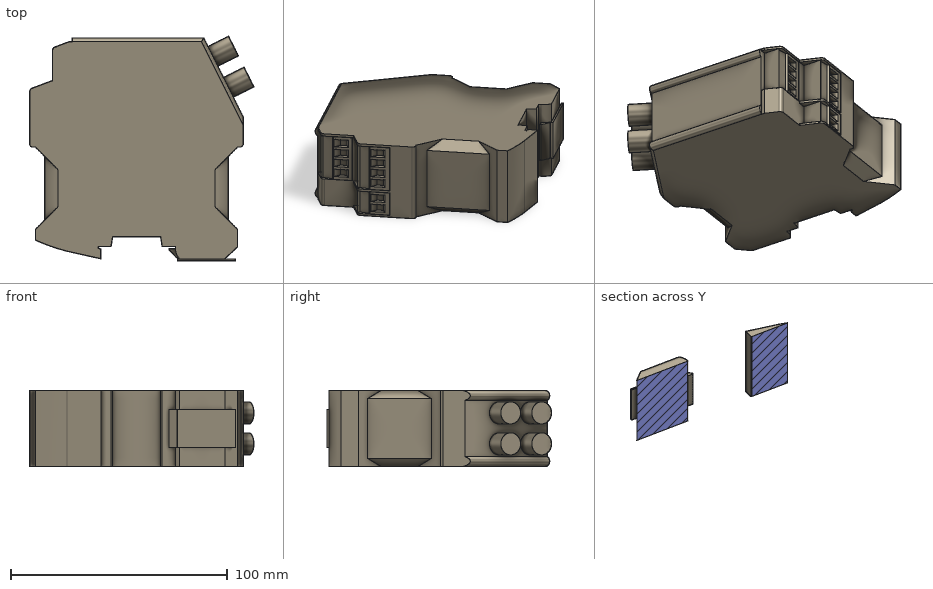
import cadquery as cq
import math

WIDTH = 98.8
THICKNESS = 35.2
FOOT_Y = 0.9
FRONT_Y = 101.2

SHOULDER_Y = 52.5
SHOULDER_FILLET = 1.5
SHOULDER_CHAMFER = 1.1
SHOULDER_X = 2.7
WAIST_X = 13.2
WAIST_TOP_Y = SHOULDER_Y - (WAIST_X - SHOULDER_X)
WAIST_BOTTOM_Y = 25.0
HIP_Y = WAIST_BOTTOM_Y - (WAIST_X - SHOULDER_X)
FOOT_SIDE_Y = 9.5

STEP_X = 10.5
STEP_SLOPE = 0.375
LOWER_STEP_Y = 79.3
UPPER_STEP_Y = 98.3
STEP_FILLET = 2.0
STEP_ROOT_Y = LOWER_STEP_Y + STEP_SLOPE * STEP_X
FRONT_LEFT_X = STEP_X + (FRONT_Y - UPPER_STEP_Y) / STEP_SLOPE

PANEL_TOP_X = 79.4
PANEL_BOTTOM_Y = 62.4
PANEL_ANGLE = math.atan2(WIDTH - PANEL_TOP_X, FRONT_Y - PANEL_BOTTOM_Y)
PANEL_NORMAL = (math.cos(PANEL_ANGLE), math.sin(PANEL_ANGLE))
PANEL_DOWN = (math.sin(PANEL_ANGLE), -math.cos(PANEL_ANGLE))

RAIL_SEAT_Y = 6.6
RAIL_ROOF_Y = 11.0
RAIL_LEFT_X = 31.8
RAIL_RIGHT_X = 67.4
RAIL_ROOF_LEFT_X = 38.4
RAIL_ROOF_RIGHT_X = 60.5
RAIL_FLARE = 0.7
RAIL_HOOK_X = 32.9
RAIL_HOOK_TOP_Y = 5.4
RAIL_HOOK_UNDERCUT_Y = 5.9
FOOT_ARC_MID = (9.5, 6.75)
FOOT_ARC_END = (17.4, 4.35)
RIGHT_FOOT_MID = (67.9, 3.0)
RIGHT_FOOT_X = 69.2
RIGHT_FOOT_END_X = 90.2
RIGHT_FLANK_Y = 6.4

LIP_HEIGHT = 1.7
PLATEAU_HEIGHT = 0.6
LIP_CREST_Z = 2.5
LIP_INNER_Z = 4.6
LIP_START_X = 19.7
ROOT = 1.0
CLEARANCE = 1.0

PLUG_HIGH_Z = (13.0, 34.05)
PLUG_LOW_Z = (0.96, 11.9)
PLUG_HIGH_WAYS = 4
PLUG_LOW_WAYS = 2
PLUG_FACE = 0.3
PLUG_TIP = 1.2
PLUG_BEVEL = 0.85
PLUG_SLOPE_END = 1.2
PLUG_SLOPE_LENGTH = 4.5
PLUG_LEDGE = 0.6
LOWER_PLUG_TOP_Y = 79.6
LOWER_PLUG_END_Y = 64.4
UPPER_PLUG_TOP_Y = 98.7
UPPER_PLUG_END_Y = 83.9
SLOT_TOP_DROP = 6.3
SLOT_LENGTH = 6.7
SLOT_DEPTH = 2.5
SLOT_END_RUN = 1.1
SLOT_WIDTH = 3.6
SLOT_PITCH = 4.85

COVER_X = 7.0
COVER_BEVEL_Z = 3.8
CLIP_WIDTH = 17.6
CLIP_LEFT_X = 68.4
CLIP_RIGHT_X = 95.0
HOOK_TIP_X = 64.5
HOOK_TOP_Y = 5.6
HOOK_TIP_HEIGHT = 0.6
HOOK_BOTTOM_Y = 1.3
HOOK_BOTTOM_X = 68.0
HOOK_BACK_X = 70.0

KNOB_RADIUS = 5.1
KNOB_LENGTH = 14.0
KNOB_END = (94.2, 99.17)
KNOB_SPACING = 16.0
KNOB_Z = (10.5, 24.8)
KNOB_ROWS = 2


def mirrored(x):
    return WIDTH - x


def housing_body():
    outline = (
        cq.Workplane("XY")
        .moveTo(0, LOWER_STEP_Y)
        .lineTo(0, SHOULDER_Y)
        .lineTo(SHOULDER_X, SHOULDER_Y)
        .lineTo(WAIST_X, WAIST_TOP_Y)
        .lineTo(WAIST_X, WAIST_BOTTOM_Y)
        .lineTo(SHOULDER_X, HIP_Y)
        .lineTo(SHOULDER_X, FOOT_SIDE_Y)
        .threePointArc(FOOT_ARC_MID, FOOT_ARC_END)
        .lineTo(RAIL_HOOK_X, FOOT_Y)
        .lineTo(RAIL_HOOK_X, RAIL_HOOK_TOP_Y)
        .lineTo(RAIL_LEFT_X, RAIL_HOOK_UNDERCUT_Y)
        .lineTo(RAIL_LEFT_X, RAIL_SEAT_Y)
        .lineTo(RAIL_ROOF_LEFT_X - RAIL_FLARE, RAIL_SEAT_Y)
        .lineTo(RAIL_ROOF_LEFT_X, RAIL_ROOF_Y)
        .lineTo(RAIL_ROOF_RIGHT_X, RAIL_ROOF_Y)
        .lineTo(RAIL_ROOF_RIGHT_X + RAIL_FLARE, RAIL_SEAT_Y)
        .lineTo(RAIL_RIGHT_X, RAIL_SEAT_Y)
        .lineTo(RAIL_RIGHT_X, HOOK_TOP_Y)
        .threePointArc(RIGHT_FOOT_MID, (RIGHT_FOOT_X, FOOT_Y))
        .lineTo(RIGHT_FOOT_END_X, FOOT_Y)
        .lineTo(mirrored(SHOULDER_X), RIGHT_FLANK_Y)
        .lineTo(mirrored(SHOULDER_X), HIP_Y)
        .lineTo(mirrored(WAIST_X), WAIST_BOTTOM_Y)
        .lineTo(mirrored(WAIST_X), WAIST_TOP_Y)
        .lineTo(mirrored(SHOULDER_X), SHOULDER_Y)
        .lineTo(mirrored(SHOULDER_CHAMFER), SHOULDER_Y)
        .lineTo(WIDTH, SHOULDER_Y + SHOULDER_CHAMFER)
        .lineTo(WIDTH, PANEL_BOTTOM_Y)
        .lineTo(PANEL_TOP_X, FRONT_Y)
        .lineTo(FRONT_LEFT_X, FRONT_Y)
        .lineTo(STEP_X, UPPER_STEP_Y)
        .lineTo(STEP_X, STEP_ROOT_Y)
        .close()
    )
    body = outline.extrude(THICKNESS)
    rounded_corners = [
        (0, SHOULDER_Y, SHOULDER_FILLET),
        (0, LOWER_STEP_Y, STEP_FILLET),
        (STEP_X, UPPER_STEP_Y, STEP_FILLET),
    ]
    for x, y, radius in rounded_corners:
        corner = cq.selectors.NearestToPointSelector((x, y, THICKNESS / 2))
        body = body.edges(corner).fillet(radius)
    return body


def panel_lips():
    """Two rounded lips with a lower face between them, swept around the front corner."""
    overrun = 2 * LIP_HEIGHT / math.tan(PANEL_ANGLE)
    path_end = (WIDTH + PANEL_DOWN[0] * overrun, PANEL_BOTTOM_Y + PANEL_DOWN[1] * overrun)
    path = cq.Workplane("XY").polyline(
        [(LIP_START_X, FRONT_Y), (PANEL_TOP_X, FRONT_Y), path_end]
    )
    top = THICKNESS
    section = (
        cq.Workplane("YZ", origin=(LIP_START_X, FRONT_Y, 0))
        .moveTo(-ROOT, 0)
        .lineTo(0, 0)
        .threePointArc((LIP_HEIGHT, LIP_CREST_Z), (PLATEAU_HEIGHT, LIP_INNER_Z))
        .lineTo(PLATEAU_HEIGHT, top - LIP_INNER_Z)
        .threePointArc((LIP_HEIGHT, top - LIP_CREST_Z), (0, top))
        .lineTo(-ROOT, top)
        .close()
    )
    lips = section.sweep(path, transition="right")
    keep = cq.Workplane("XY").box(WIDTH, 2 * FRONT_Y, THICKNESS, centered=False)
    return lips.intersect(keep)


def terminal_cavity(face_x, back_x, top_y, end_y, open_y, z_range):
    """Space removed in front of and above one terminal block."""
    z_low, z_high = z_range
    slope_end_y = top_y - PLUG_BEVEL - PLUG_SLOPE_LENGTH
    outside_x = face_x - CLEARANCE
    points = [
        (outside_x, open_y),
        (back_x, open_y),
        (back_x, top_y),
        (face_x + PLUG_TIP, top_y),
        (face_x + PLUG_TIP + PLUG_BEVEL, top_y - PLUG_BEVEL),
        (face_x + PLUG_SLOPE_END, slope_end_y),
        (face_x + PLUG_FACE, slope_end_y - PLUG_LEDGE),
        (face_x + PLUG_FACE, end_y),
        (outside_x, end_y),
    ]
    return cq.Workplane("XY", origin=(0, 0, z_low)).polyline(points).close().extrude(z_high - z_low)


def contact_slots(face_x, top_y, z_range, count):
    """Row of wire entries: 45 degree upper wall, flat floor, steep lower wall."""
    start_x = face_x + PLUG_FACE
    floor_x = start_x + SLOT_DEPTH
    slot_top = top_y - SLOT_TOP_DROP
    slot_end = slot_top - SLOT_LENGTH
    points = [
        (start_x, slot_top),
        (floor_x, slot_top - SLOT_DEPTH),
        (floor_x, slot_end + SLOT_END_RUN),
        (start_x, slot_end),
    ]
    first_z = sum(z_range) / 2 - SLOT_PITCH * (count - 1) / 2 - SLOT_WIDTH / 2
    slots = cq.Workplane("XY")
    for index in range(count):
        base = cq.Workplane("XY", origin=(0, 0, first_z + index * SLOT_PITCH))
        slots = slots.union(base.polyline(points).close().extrude(SLOT_WIDTH))
    return slots


def cut_terminals(body):
    front_open_y = FRONT_Y + LIP_HEIGHT + CLEARANCE
    upper = (STEP_X, LIP_START_X, UPPER_PLUG_TOP_Y, UPPER_PLUG_END_Y, front_open_y)
    lower = (0, STEP_X, LOWER_PLUG_TOP_Y, LOWER_PLUG_END_Y, STEP_ROOT_Y)
    blocks = [
        (upper, PLUG_HIGH_Z, PLUG_HIGH_WAYS),
        (lower, PLUG_HIGH_Z, PLUG_HIGH_WAYS),
        (lower, PLUG_LOW_Z, PLUG_LOW_WAYS),
    ]
    for shape, z_range, count in blocks:
        face_x, back_x, top_y, end_y, open_y = shape
        body = body.cut(terminal_cavity(face_x, back_x, top_y, end_y, open_y, z_range))
        body = body.cut(contact_slots(face_x, top_y, z_range, count))
    return body


def waist_cover():
    """Bevelled cover that partly fills the left waist between its 45 degree walls."""
    reach = WAIST_X - COVER_X
    low_y = WAIST_BOTTOM_Y - reach
    high_y = WAIST_TOP_Y + reach
    root_x = WAIST_X + ROOT
    points = [
        (COVER_X, COVER_BEVEL_Z),
        (COVER_X, THICKNESS - COVER_BEVEL_Z),
        (WAIST_X, THICKNESS),
        (root_x, THICKNESS),
        (root_x, 0),
        (WAIST_X, 0),
    ]
    section = cq.Workplane("XZ", origin=(0, low_y, 0)).polyline(points).close()
    return section.extrude(low_y - high_y)


def rail_clip():
    clip_z = (THICKNESS - CLIP_WIDTH) / 2
    points = [
        (CLIP_LEFT_X, 0),
        (CLIP_RIGHT_X, 0),
        (CLIP_RIGHT_X, FOOT_Y),
        (HOOK_BACK_X, FOOT_Y),
        (HOOK_BACK_X, HOOK_TOP_Y),
        (HOOK_TIP_X, HOOK_TOP_Y),
        (HOOK_TIP_X, HOOK_TOP_Y - HOOK_TIP_HEIGHT),
        (HOOK_BOTTOM_X, HOOK_BOTTOM_Y),
        (CLIP_LEFT_X, HOOK_BOTTOM_Y),
    ]
    return cq.Workplane("XY", origin=(0, 0, clip_z)).polyline(points).close().extrude(CLIP_WIDTH)


def panel_knobs():
    knobs = cq.Workplane("XY")
    inward = cq.Vector(-PANEL_NORMAL[0], -PANEL_NORMAL[1], 0)
    for row in range(KNOB_ROWS):
        end_x = KNOB_END[0] + row * KNOB_SPACING * PANEL_DOWN[0]
        end_y = KNOB_END[1] + row * KNOB_SPACING * PANEL_DOWN[1]
        for z in KNOB_Z:
            end_centre = cq.Vector(end_x, end_y, z)
            knob = cq.Solid.makeCylinder(KNOB_RADIUS, KNOB_LENGTH, end_centre, inward)
            knobs = knobs.union(cq.Workplane(knob))
    return knobs


left_cover = waist_cover()
right_cover = left_cover.mirror("YZ", (WIDTH / 2, 0, 0))

housing = cut_terminals(housing_body().union(panel_lips()))
result = housing.union(left_cover).union(right_cover).union(rail_clip()).union(panel_knobs())